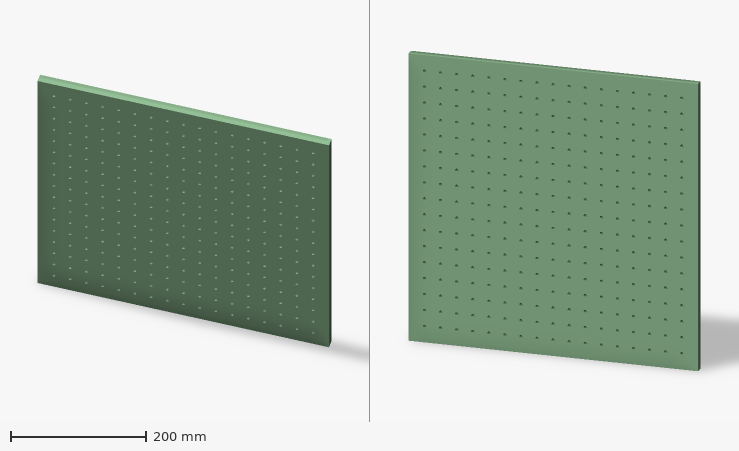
import cadquery as cq

side = 450.0
thickness = 13.0
holes_per_side = 17
pitch = side / (holes_per_side + 1)
hole_diameter = 5.0

plate = cq.Workplane("XY").box(side, thickness, side)

result = (
    plate.faces("<Y")
    .workplane(centerOption="CenterOfBoundBox")
    .rarray(pitch, pitch, holes_per_side, holes_per_side)
    .hole(hole_diameter)
)